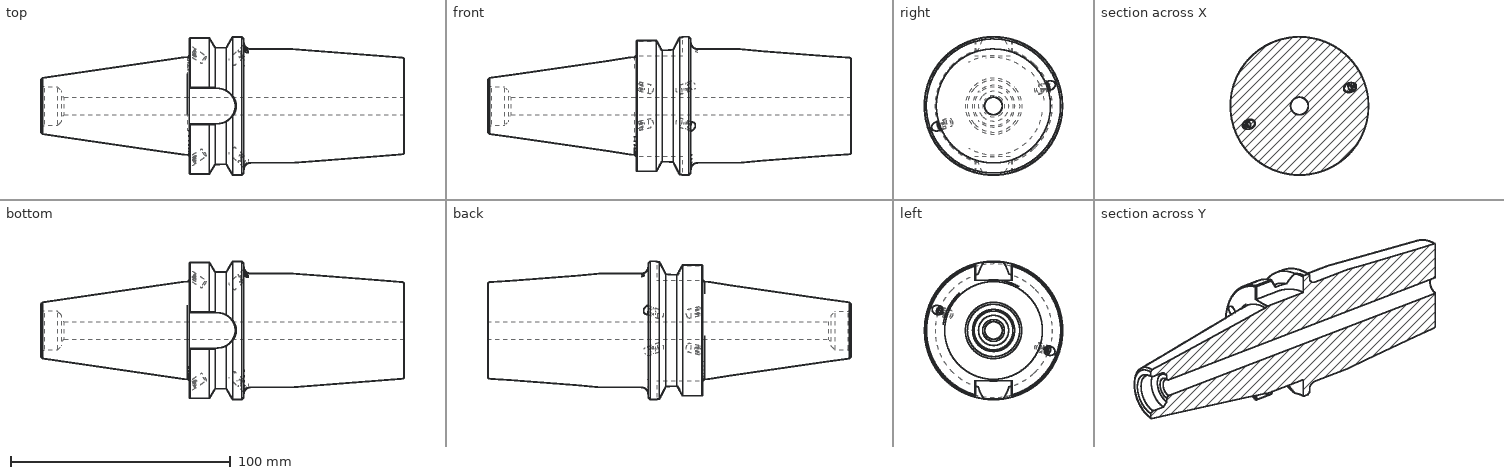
import cadquery as cq
import math


LENGTH = 165.4
TAPER_LENGTH = 65.3
GAUGE_DIAMETER = 44.5
TAPER_RATIO = 7 / 24
SMALL_END_DIAMETER = GAUGE_DIAMETER - TAPER_LENGTH * TAPER_RATIO
SMALL_END_CHAMFER = 0.8

FLANGE_START = 67.5
FLANGE_END = 92.5
FRONT_RIM_DIAMETER = 62.0
REAR_RIM_DIAMETER = 63.0
GROOVE_DIAMETER = 53.3
GROOVE_CENTRE = 81.9
GROOVE_FLOOR_WIDTH = 5.1
GROOVE_WALL_ANGLE = 60.0
FRONT_RIM_CHAMFER = 0.5
NECK_FILLET = 0.8
REAR_RIM_CHAMFER = 1.0

NOSE_DIAMETER = 52.0
NOSE_FILLET = 3.0
NOSE_CONE_START = 114.3
NOSE_END_DIAMETER = 44.0
NOSE_END_FILLET = 1.0

MOUTH_DIAMETER = 19.2
BORE_DIAMETER = 17.7
MOUTH_DEPTH = 1.5
BORE_DEPTH = 7.5
BORE_STEP_DIAMETER = 13.7
CHANNEL_DIAMETER = 8.0
CHANNEL_CHAMFER = 1.0

SLOT_WIDTH = 16.0
SLOT_END = 88.5
SLOT_CHAMFER = 0.5
SLOT_FLOOR_HEIGHT = 22.8

SCREW_HOLE_DIAMETER = 4.1
SCREW_DIAMETER = 4.0
SCREW_LENGTH = 6.0
SCREW_RECESS = 2.2
SOCKET_WIDTH = 2.0
SOCKET_DEPTH = 2.0
SCREW_RADIUS_POSITION = 27.1
SCREW_POLAR_ANGLE = 20.0
FRONT_SCREW_TILT = 35.0
REAR_SCREW_TILT = 45.0
REAR_SCREW_MOUTH = 92.6
HOLE_OVERSHOOT = 5.0

ARC_MIDDLE = 1 - math.sqrt(0.5)


def revolve_about_x(profile):
    return profile.close().revolve(360, (0, 0, 0), (1, 0, 0))


def turned_body():
    front_rim = FRONT_RIM_DIAMETER / 2
    rear_rim = REAR_RIM_DIAMETER / 2
    groove = GROOVE_DIAMETER / 2
    nose = NOSE_DIAMETER / 2
    wall_slope = math.tan(math.radians(GROOVE_WALL_ANGLE))
    floor_start = GROOVE_CENTRE - GROOVE_FLOOR_WIDTH / 2
    floor_end = GROOVE_CENTRE + GROOVE_FLOOR_WIDTH / 2
    small_end = SMALL_END_DIAMETER / 2
    neck = GAUGE_DIAMETER / 2
    neck_arc_offset = NECK_FILLET * ARC_MIDDLE
    nose_arc_offset = NOSE_FILLET * ARC_MIDDLE
    profile = (
        cq.Workplane("XY")
        .moveTo(0, 0)
        .lineTo(0, small_end - SMALL_END_CHAMFER)
        .lineTo(SMALL_END_CHAMFER, small_end + SMALL_END_CHAMFER * TAPER_RATIO / 2)
        .lineTo(TAPER_LENGTH, neck)
        .lineTo(FLANGE_START - NECK_FILLET, neck)
        .threePointArc(
            (FLANGE_START - neck_arc_offset, neck + neck_arc_offset),
            (FLANGE_START, neck + NECK_FILLET),
        )
        .lineTo(FLANGE_START, front_rim - FRONT_RIM_CHAMFER)
        .lineTo(FLANGE_START + FRONT_RIM_CHAMFER, front_rim)
        .lineTo(floor_start - (front_rim - groove) / wall_slope, front_rim)
        .lineTo(floor_start, groove)
        .lineTo(floor_end, groove)
        .lineTo(floor_end + (rear_rim - groove) / wall_slope, rear_rim)
        .lineTo(FLANGE_END - REAR_RIM_CHAMFER, rear_rim)
        .lineTo(FLANGE_END, rear_rim - REAR_RIM_CHAMFER)
        .lineTo(FLANGE_END, nose + NOSE_FILLET)
        .threePointArc(
            (FLANGE_END + nose_arc_offset, nose + nose_arc_offset),
            (FLANGE_END + NOSE_FILLET, nose),
        )
        .lineTo(NOSE_CONE_START, nose)
        .lineTo(LENGTH, NOSE_END_DIAMETER / 2)
        .lineTo(LENGTH, 0)
    )
    return revolve_about_x(profile).faces(">X").edges().fillet(NOSE_END_FILLET)


def central_bore():
    step_depth = BORE_DEPTH + (BORE_DIAMETER - BORE_STEP_DIAMETER) / 2
    channel = CHANNEL_DIAMETER / 2
    profile = (
        cq.Workplane("XY")
        .moveTo(0, 0)
        .lineTo(0, MOUTH_DIAMETER / 2)
        .lineTo(MOUTH_DEPTH, BORE_DIAMETER / 2)
        .lineTo(BORE_DEPTH, BORE_DIAMETER / 2)
        .lineTo(step_depth, BORE_STEP_DIAMETER / 2)
        .lineTo(step_depth, channel + CHANNEL_CHAMFER)
        .lineTo(step_depth + CHANNEL_CHAMFER, channel)
        .lineTo(LENGTH, channel)
        .lineTo(LENGTH, 0)
    )
    return revolve_about_x(profile)


def drive_slot():
    """One slot at +Z; its round end flares out at the rear rim to chamfer that edge."""
    rim_height = REAR_RIM_DIAMETER / 2
    depth = rim_height - SLOT_FLOOR_HEIGHT
    end_radius = SLOT_WIDTH / 2
    end_centre = SLOT_END - end_radius
    floor_plane = cq.Workplane("XY", origin=(0, 0, SLOT_FLOOR_HEIGHT))
    slot = (
        floor_plane.moveTo(FLANGE_START, -end_radius)
        .lineTo(end_centre, -end_radius)
        .threePointArc((SLOT_END, 0), (end_centre, end_radius))
        .lineTo(FLANGE_START, end_radius)
        .close()
        .extrude(depth)
    )
    flare = cq.Solid.makeCone(
        end_radius,
        end_radius + SLOT_CHAMFER,
        SLOT_CHAMFER,
        pnt=cq.Vector(end_centre, 0, rim_height - SLOT_CHAMFER),
    )
    return slot.union(cq.Workplane(flare))


def cut_drive_slots(body):
    """Cuts both slots and chamfers their edges on the front part of the flange, except on the floors."""
    lowest = SLOT_FLOOR_HEIGHT + SLOT_CHAMFER
    for _ in range(2):
        body = body.cut(drive_slot())
        wall_edges = cq.selectors.BoxSelector(
            (FLANGE_START - SLOT_CHAMFER, -SLOT_WIDTH, lowest),
            (GROOVE_CENTRE - GROOVE_FLOOR_WIDTH / 2, SLOT_WIDTH, REAR_RIM_DIAMETER / 2),
        )
        body = body.edges(wall_edges).chamfer(SLOT_CHAMFER)
        body = body.rotate((0, 0, 0), (1, 0, 0), 180)
    return body


def screw_planes():
    """Planes at the hole mouths, with normals pointing out of the holes."""
    planes = []
    for polar in (SCREW_POLAR_ANGLE, SCREW_POLAR_ANGLE + 180):
        y = math.cos(math.radians(polar))
        z = math.sin(math.radians(polar))
        for mouth, tilt, side in (
            (FLANGE_START, FRONT_SCREW_TILT, -1),
            (REAR_SCREW_MOUTH, REAR_SCREW_TILT, 1),
        ):
            outward = math.sin(math.radians(tilt))
            planes.append(
                cq.Plane(
                    origin=(mouth, SCREW_RADIUS_POSITION * y, SCREW_RADIUS_POSITION * z),
                    xDir=(0, -z, y),
                    normal=(side * math.cos(math.radians(tilt)), outward * y, outward * z),
                )
            )
    return planes


def screw_hole(plane):
    return (
        cq.Workplane(plane)
        .workplane(offset=-SCREW_RECESS - SCREW_LENGTH)
        .circle(SCREW_HOLE_DIAMETER / 2)
        .extrude(SCREW_RECESS + SCREW_LENGTH + HOLE_OVERSHOOT)
    )


def set_screw(plane):
    top = cq.Workplane(plane).workplane(offset=-SCREW_RECESS)
    socket = top.polygon(6, SOCKET_WIDTH, circumscribed=True).extrude(-SOCKET_DEPTH)
    return top.circle(SCREW_DIAMETER / 2).extrude(-SCREW_LENGTH).cut(socket)


holder = cut_drive_slots(turned_body().cut(central_bore()))
for plane in screw_planes():
    holder = holder.cut(screw_hole(plane))

screws = [set_screw(plane) for plane in screw_planes()]

result = cq.Compound.makeCompound([holder.val(), *[screw.val() for screw in screws]])